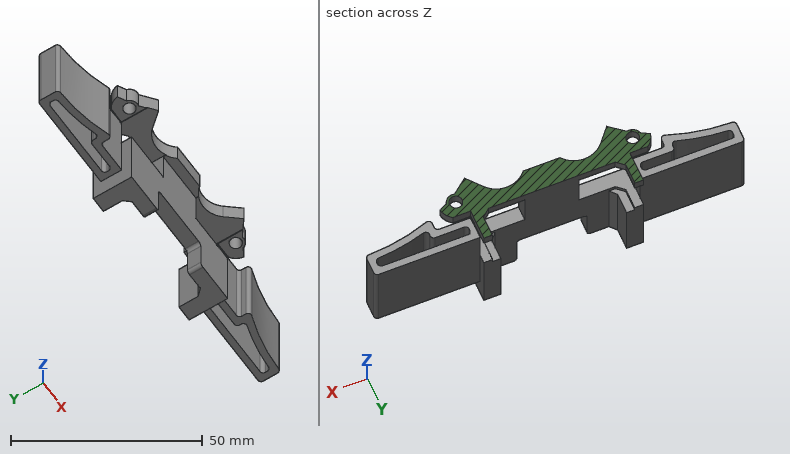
import cadquery as cq
import math


LENGTH = 105
HEIGHT = 34.5
DEPTH = 18.9

BODY_WIDTH = 45.4
BODY_TOP = 19.3
BODY_FRONT = -12.1
WALL_BACK = -7.9
ARM_WIDTH = 4.8
ARM_CHAMFER_X = 1.7
THIN_ARM_WIDTH = 2.5
THIN_ARM_CHAMFER_X = 2.2
CHAMFER_Y = 1.9
LEDGE_DEPTH = 1.0
NOTCH_WIDTH = 20.0
NOTCH_HEIGHT = 9.9
NOTCH_RADIUS = 1.0
NECK_WIDTH = 15.4

PLATE_THICKNESS = 5.5
PLATE_BOTTOM = HEIGHT - PLATE_THICKNESS
RELIEF_DEPTH = 0.3
NOSE_WIDTH = 10.5
NOSE_FRONT = -14.9
TIP_X = 20.2
SCALLOP_X = 11.0
HOLE_X = 25.1
HOLE_Y = -13.0
HOLE_DIAMETER = 3.5
EAR_RADIUS = 4.8
EAR_BACK = -8.9
EAR_CORNER_Y = -12.4
BOSS_RADIUS = 2.5
BOSS_START_ANGLE = -165
BOSS_END_ANGLE = -76

WING_BOTTOM = 6.1
WING_HEIGHT = 22.5
WING_BACK = -2.4
WING_FRONT = -8.9
STEP_X = 32.5
BOW_RADIUS = 54.6
WING_WALL = 2.0
ROOT_WALL = 1.7
WING_FILLET = 1.0

HALF_LENGTH = LENGTH / 2
HALF_BODY = BODY_WIDTH / 2
HALF_NOSE = NOSE_WIDTH / 2


def mirrored(solid):
    """Join a left-hand solid with its right-hand twin."""
    return solid.union(solid.mirror("YZ"))


def polar(center, radius, degrees):
    """Point at a given angle on a circle."""
    angle = math.radians(degrees)
    return (center[0] + radius * math.cos(angle), center[1] + radius * math.sin(angle))


def back_opening(arm_width, chamfer_x, bottom, height):
    """Space between two rear arms, with chamfered inner corners."""
    half = HALF_BODY - arm_width
    corner_y = WALL_BACK + CHAMFER_Y
    points = [
        (-half, 0),
        (-half, corner_y),
        (-half + chamfer_x, WALL_BACK),
        (half - chamfer_x, WALL_BACK),
        (half, corner_y),
        (half, 0),
    ]
    return cq.Workplane("XY").workplane(offset=bottom).polyline(points).close().extrude(height)


def window():
    """Open space left of the neck, cut slightly up into the plate."""
    width = (BODY_WIDTH - NECK_WIDTH) / 2
    height = PLATE_BOTTOM + RELIEF_DEPTH - BODY_TOP
    return (
        cq.Workplane("XY")
        .box(width, DEPTH, height, centered=False)
        .translate((-HALF_BODY, -DEPTH, BODY_TOP))
    )


def notch():
    """Slot in the underside, rounded at its roof."""
    return (
        cq.Workplane("XY")
        .box(NOTCH_WIDTH, DEPTH, NOTCH_HEIGHT, centered=(True, False, False))
        .translate((0, -DEPTH, 0))
        .edges("|Y and >Z")
        .fillet(NOTCH_RADIUS)
    )


def body():
    """U-shaped body, tall enough to meet the plate; the windows leave only its neck at the top."""
    depth = -BODY_FRONT
    block = (
        cq.Workplane("XY")
        .box(BODY_WIDTH, depth, PLATE_BOTTOM, centered=(True, False, False))
        .translate((0, BODY_FRONT, 0))
    )
    block = block.cut(back_opening(ARM_WIDTH, ARM_CHAMFER_X, 0, PLATE_BOTTOM)).cut(notch())
    ledge = BODY_TOP - LEDGE_DEPTH
    block = block.cut(back_opening(THIN_ARM_WIDTH, THIN_ARM_CHAMFER_X, ledge, PLATE_BOTTOM - ledge))
    notch_mouth = cq.selectors.BoxSelector(
        (-NOTCH_WIDTH / 2 - NOTCH_RADIUS / 2, -DEPTH, -NOTCH_RADIUS / 2),
        (NOTCH_WIDTH / 2 + NOTCH_RADIUS / 2, 0, NOTCH_RADIUS / 2),
    )
    return block.edges("|Y").edges(notch_mouth).fillet(NOTCH_RADIUS)


def plate():
    """Top plate with two ears, two scallops in its front and two rear arms."""
    tip = (-TIP_X, -DEPTH)
    hole = (-HOLE_X, HOLE_Y)

    half_chord = SCALLOP_X - HALF_NOSE
    rise = BODY_FRONT - NOSE_FRONT
    radius = (half_chord**2 + rise**2) / (2 * rise)
    scallop = (-SCALLOP_X, BODY_FRONT - radius)
    to_tip = math.degrees(math.atan2(tip[1] - scallop[1], tip[0] - scallop[0]))
    tip_distance = math.dist(tip, scallop)
    tangent_angle = to_tip - math.degrees(math.acos(radius / tip_distance))

    ear_start = (hole[0] - math.sqrt(EAR_RADIUS**2 - (EAR_BACK - HOLE_Y) ** 2), EAR_BACK)
    ear_end = (hole[0] - math.sqrt(EAR_RADIUS**2 - (EAR_CORNER_Y - HOLE_Y) ** 2), EAR_CORNER_Y)
    start_angle = math.degrees(math.atan2(ear_start[1] - hole[1], ear_start[0] - hole[0]))
    end_angle = math.degrees(math.atan2(ear_end[1] - hole[1], ear_end[0] - hole[0]))
    boss_middle_angle = (BOSS_START_ANGLE + BOSS_END_ANGLE) / 2

    half = (
        cq.Workplane("XY")
        .workplane(offset=PLATE_BOTTOM)
        .moveTo(0, 0)
        .lineTo(-HALF_BODY, 0)
        .lineTo(-HALF_BODY, EAR_BACK)
        .lineTo(*ear_start)
        .threePointArc(polar(hole, EAR_RADIUS, (start_angle + end_angle) / 2), ear_end)
        .lineTo(*polar(hole, BOSS_RADIUS, BOSS_START_ANGLE))
        .threePointArc(
            polar(hole, BOSS_RADIUS, boss_middle_angle),
            polar(hole, BOSS_RADIUS, BOSS_END_ANGLE),
        )
        .lineTo(*tip)
        .lineTo(*polar(scallop, radius, tangent_angle))
        .threePointArc((-SCALLOP_X, BODY_FRONT), (-HALF_NOSE, NOSE_FRONT))
        .lineTo(0, NOSE_FRONT)
        .close()
        .extrude(PLATE_THICKNESS)
    )
    hole_cutter = (
        cq.Workplane("XY")
        .workplane(offset=PLATE_BOTTOM)
        .center(*hole)
        .circle(HOLE_DIAMETER / 2)
        .extrude(PLATE_THICKNESS)
    )
    opening = back_opening(THIN_ARM_WIDTH, THIN_ARM_CHAMFER_X, PLATE_BOTTOM, PLATE_THICKNESS)
    return mirrored(half.cut(hole_cutter)).cut(opening)


def wing_prism(inset, root_inset):
    """Stepped wing with a bowed front, its outline moved inward by the insets."""
    outer = -HALF_LENGTH + inset
    root = -HALF_BODY - root_inset
    step = -STEP_X - inset
    back = WING_BACK - inset
    front = WING_FRONT + inset
    radius = BOW_RADIUS + inset
    bow_center = (-HALF_LENGTH, WING_FRONT - BOW_RADIUS)

    def bow_point(x):
        return (x, bow_center[1] + math.sqrt(radius**2 - (x - bow_center[0]) ** 2))

    return (
        cq.Workplane("XY")
        .workplane(offset=WING_BOTTOM)
        .moveTo(outer, back)
        .lineTo(root, back)
        .lineTo(root, front)
        .lineTo(step, front)
        .lineTo(*bow_point(step))
        .threePointArc(bow_point((step + outer) / 2), bow_point(outer))
        .close()
        .extrude(WING_HEIGHT)
    )


def wing():
    """Left wing, hollowed to a thin closed loop."""
    outside = wing_prism(0, 0).edges("|Z").edges("not(>X)").fillet(WING_FILLET)
    slot = wing_prism(WING_WALL, ROOT_WALL).edges("|Z").fillet(WING_FILLET)
    return outside.cut(slot)


windows = mirrored(window())
result = body().union(plate()).cut(windows).union(mirrored(wing()))